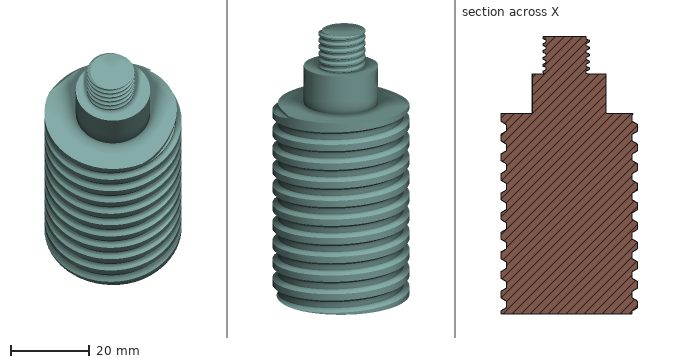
import cadquery as cq
import math

body_diameter = 35.0
body_height = 51.2
groove_pitch = 5.0
groove_depth = 1.42
groove_floor_width = 1.6
groove_flank_height = 0.85

collar_diameter = 19.0
collar_height = 10.0

stud_diameter = 12.0
total_height = 70.85
stud_height = total_height - body_height - collar_height
stud_offset_y = -0.8
stud_pitch = 1.75
stud_groove_depth = 0.85
stud_groove_floor_width = 0.5
stud_groove_flank_height = 0.4

groove_end_angle = 180.0

overcut = 0.5
trim_length = 10.0

body_groove_turns = math.ceil(body_height / groove_pitch)
stud_groove_turns = math.ceil(stud_height / stud_pitch) + 2

rim_relief_depth = 1.2
rim_relief_path = [(100, 16.1), (85, 16.45), (55, 16.42), (18, 16.0), (-10, 17.05), (-22, 17.6)]


def polar(radius, angle):
    """Point in the XY plane at a radius and an angle in degrees from +X."""
    return (radius * math.cos(math.radians(angle)), radius * math.sin(math.radians(angle)))


def groove_cutter(outer_radius, depth, floor_width, flank_height, pitch, top, turns):
    """Right-handed trapezoidal groove whose centre ends at height `top`."""
    root_radius = outer_radius - depth
    open_radius = outer_radius + overcut
    half_floor = floor_width / 2
    half_mouth = half_floor + flank_height * (depth + overcut) / depth
    length = turns * pitch
    profile = (
        cq.Workplane("XZ")
        .polyline([
            (root_radius, -half_floor),
            (open_radius, -half_mouth),
            (open_radius, half_mouth),
            (root_radius, half_floor),
        ])
        .close()
    )
    helix = cq.Wire.makeHelix(pitch, length, root_radius)
    cutter = profile.sweep(cq.Workplane(obj=helix), isFrenet=True)
    return cutter.rotate((0, 0, 0), (0, 0, 1), groove_end_angle - 360 * turns).translate((0, 0, top - length))


def threaded_rod(radius, height, cutter):
    """Cut the groove in an over-long rod, then trim both ends flat."""
    rod = (
        cq.Workplane("XY")
        .workplane(offset=-trim_length)
        .circle(radius)
        .extrude(height + 2 * trim_length)
        .rotate((0, 0, 0), (0, 0, 1), groove_end_angle)
    )
    envelope = cq.Workplane("XY").circle(2 * radius).extrude(height)
    return rod.cut(cutter, clean=False).intersect(envelope, clean=False)


def make_run_out():
    """Body groove carried on along the tangent where its helix ends, open to the top face."""
    radius = body_diameter / 2
    root_x = -(radius - groove_depth)
    open_x = -(radius + overcut)
    lower_root = body_height - groove_floor_width / 2
    lower_mouth = lower_root - groove_flank_height * (groove_depth + overcut) / groove_depth
    above_top = body_height + overcut
    rise = radius * groove_pitch / (2 * math.pi * abs(root_x))
    tangent = cq.Workplane("YZ").lineTo(-radius, rise)
    return (
        cq.Workplane("XZ")
        .polyline([
            (root_x, lower_root),
            (open_x, lower_mouth),
            (open_x, above_top),
            (root_x, above_top),
        ])
        .close()
        .sweep(tangent)
    )


def make_rim_relief():
    """Material outside the relieved rim, where the last thread ridge fades into the top face."""
    clear_radius = body_diameter / 2 + 2 * overcut
    first_angle = rim_relief_path[0][0]
    last_angle = rim_relief_path[-1][0]
    return (
        cq.Workplane("XY")
        .workplane(offset=body_height - rim_relief_depth)
        .spline([polar(radius, angle) for angle, radius in rim_relief_path])
        .lineTo(*polar(clear_radius, last_angle))
        .threePointArc(polar(clear_radius, (first_angle + last_angle) / 2), polar(clear_radius, first_angle))
        .close()
        .extrude(rim_relief_depth + overcut)
    )


def make_body():
    cutter = groove_cutter(body_diameter / 2, groove_depth, groove_floor_width, groove_flank_height,
                           groove_pitch, body_height, body_groove_turns)
    body = threaded_rod(body_diameter / 2, body_height, cutter)
    return body.cut(make_run_out(), clean=False).cut(make_rim_relief(), clean=False)


def make_collar():
    return (
        cq.Workplane("XY")
        .workplane(offset=body_height)
        .circle(collar_diameter / 2)
        .extrude(collar_height)
    )


def make_stud():
    cutter = groove_cutter(stud_diameter / 2, stud_groove_depth, stud_groove_floor_width,
                           stud_groove_flank_height, stud_pitch, stud_height + stud_pitch, stud_groove_turns)
    stud = threaded_rod(stud_diameter / 2, stud_height, cutter)
    return stud.translate((0, stud_offset_y, body_height + collar_height))


result = make_body().union(make_collar(), clean=False).union(make_stud(), clean=False)